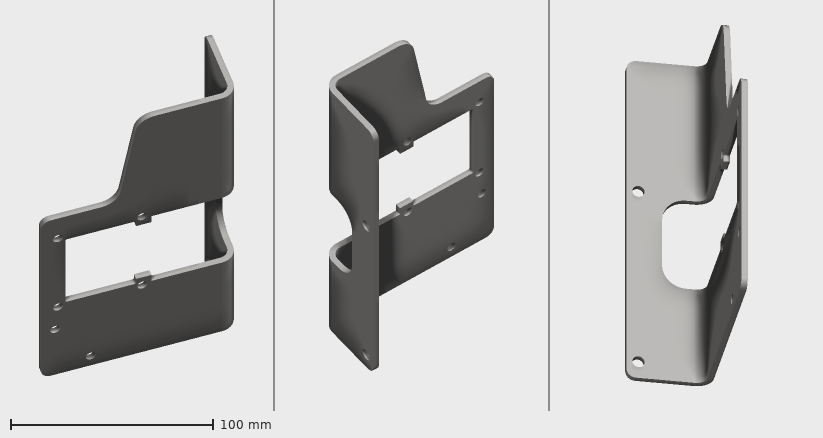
import cadquery as cq
import math

width = 43.0
depth = 103.0
height = 180.0
thickness = 3.2
bend_inner_radius = 5.2
bend_outer_radius = bend_inner_radius + thickness
corner_radius = 5.0

left = -width / 2
right = width / 2
front = -depth / 2
back = depth / 2
bottom = -height / 2
top = height / 2

step_z = bottom + 120.0
slope_top_y = back - 52.4
slope_angle = 10.0
slope_bottom_y = slope_top_y - (top - step_z) * math.tan(math.radians(slope_angle))
slope_radius = 10.0

window_height = 50.0
window_z = bottom + 78.1
flange_web_left = left + 18.0
window_radius = 12.0
web_window_height = 48.2
web_window_front = back - 90.4
window_corner_radius = 0.9

tab_back = back - 45.4
tab_width = 8.1
tab_front = tab_back - tab_width
tab_gap = 40.9

web_hole_diameter = 5.2
mount_y = back - 72.2
mount_spacing_y = 44.0
mount_spacing_z = 53.0
extra_hole_points = [(back - 95.5, bottom + 35.0), (back - 77.0, bottom + 7.2)]
flange_hole_diameter = 6.1
flange_hole_x = left + 6.1
flange_hole_heights = [bottom + 9.2, bottom + 106.0]


def side_block(y_start, y_end, z_size):
    """Box across the full width, centred vertically on the window."""
    return (
        cq.Workplane("YZ", origin=(left, 0, window_z))
        .center((y_start + y_end) / 2, 0)
        .rect(y_end - y_start, z_size)
        .extrude(width)
    )


def make_bent_sheet():
    sheet = (
        cq.Workplane("XY", origin=(0, 0, bottom))
        .moveTo(left, back)
        .lineTo(right - bend_outer_radius, back)
        .radiusArc((right, back - bend_outer_radius), bend_outer_radius)
        .lineTo(right, front)
        .lineTo(right - thickness, front)
        .lineTo(right - thickness, back - bend_outer_radius)
        .radiusArc((right - bend_outer_radius, back - thickness), -bend_inner_radius)
        .lineTo(left, back - thickness)
        .close()
        .extrude(height)
    )
    return sheet.edges("|Y and <X").fillet(corner_radius)


def make_web_outline():
    outline = (
        cq.Workplane("YZ", origin=(left, 0, 0))
        .polyline([
            (back, bottom),
            (front, bottom),
            (front, step_z),
            (slope_bottom_y, step_z),
            (slope_top_y, top),
            (back, top),
        ])
        .close()
        .extrude(width)
    )
    outline = outline.edges("|X and <Y").fillet(corner_radius)
    slope_middle = (0, (slope_top_y + slope_bottom_y) / 2, (top + step_z) / 2)
    slope_face = outline.faces(cq.selectors.NearestToPointSelector(slope_middle))
    return slope_face.edges("|X").fillet(slope_radius)


def make_web_window():
    rear = side_block(tab_back, back, window_height)
    between_tabs = side_block(tab_front, tab_back, tab_gap)
    forward = side_block(web_window_front, tab_front, web_window_height)
    forward = forward.edges("|X").fillet(window_corner_radius)
    window = rear.union(between_tabs).union(forward)
    web_region = cq.Workplane("XY").box(
        bend_outer_radius, depth, height).translate((right - bend_outer_radius / 2, 0, 0))
    return window.intersect(web_region)


def make_flange_window():
    return (
        cq.Workplane("XZ", origin=(0, back, window_z))
        .center((flange_web_left + right) / 2, 0)
        .rect(right - flange_web_left, window_height)
        .extrude(bend_outer_radius)
        .edges("|Y and <X")
        .fillet(window_radius)
    )


def make_web_holes():
    mount_points = [
        (mount_y + i * mount_spacing_y / 2, window_z + j * mount_spacing_z / 2)
        for i in (-1, 1)
        for j in (-1, 1)
    ]
    return (
        cq.Workplane("YZ", origin=(right - thickness, 0, 0))
        .pushPoints(mount_points + extra_hole_points)
        .circle(web_hole_diameter / 2)
        .extrude(thickness)
    )


def make_flange_holes():
    return (
        cq.Workplane("XZ", origin=(0, back, 0))
        .pushPoints([(flange_hole_x, z) for z in flange_hole_heights])
        .circle(flange_hole_diameter / 2)
        .extrude(thickness)
    )


bracket = make_bent_sheet().intersect(make_web_outline())
bracket = bracket.cut(make_web_window()).cut(make_flange_window())
bracket = bracket.cut(make_web_holes()).cut(make_flange_holes())
result = bracket